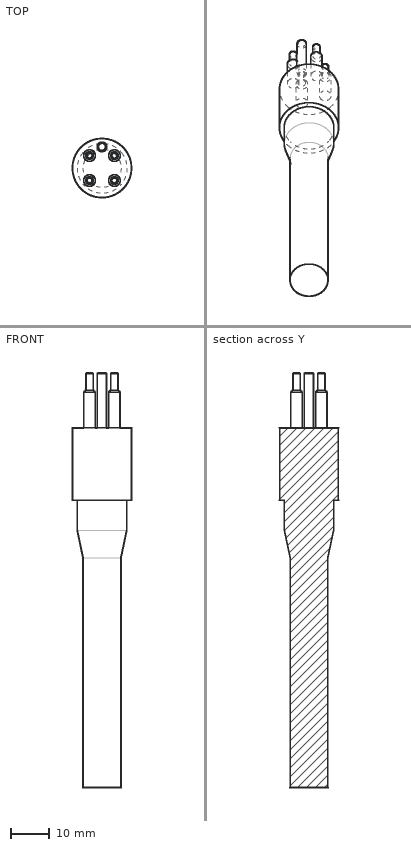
import cadquery as cq

total_height = 108.5
cable_top = 60.1
cone_top = 67.3
collar_top = 75.1
body_top = 94.1
sleeve_top = 103.9

cable_diameter = 10.0
collar_diameter = 13.0
body_diameter = 15.5
sleeve_diameter = 3.0
contact_diameter = 2.0
key_pin_diameter = 2.5

contact_spacing = 6.5
key_pin_offset = 5.5

sleeve_chamfer = (sleeve_diameter - contact_diameter) / 2
tip_chamfer = 0.3


def turned(profile):
    """Revolve a radius/height outline, closed along the Z axis."""
    return cq.Workplane("XZ").polyline(profile).close().revolve(360, (0, 0, 0), (0, 1, 0))


def housing():
    """Cable, tapered strain relief, collar and body on one axis."""
    cable_radius = cable_diameter / 2
    collar_radius = collar_diameter / 2
    body_radius = body_diameter / 2
    return turned([
        (0, 0),
        (cable_radius, 0),
        (cable_radius, cable_top),
        (collar_radius, cone_top),
        (collar_radius, collar_top),
        (body_radius, collar_top),
        (body_radius, body_top),
        (0, body_top),
    ])


def chamfered_pin(x, y, diameter, top, chamfer):
    """Round pin standing on the body face, chamfered at its free end."""
    return (
        cq.Workplane("XY", origin=(x, y, body_top))
        .circle(diameter / 2)
        .extrude(top - body_top)
        .faces(">Z")
        .chamfer(chamfer)
    )


def contact_pin(x, y):
    """Insulating sleeve with a thinner contact standing out of its end."""
    sleeve = chamfered_pin(x, y, sleeve_diameter, sleeve_top, sleeve_chamfer)
    contact = chamfered_pin(x, y, contact_diameter, total_height, tip_chamfer)
    return sleeve.union(contact)


key_pin = chamfered_pin(0, key_pin_offset, key_pin_diameter, total_height, tip_chamfer)

result = housing().union(key_pin)
for x_side in (-1, 1):
    for y_side in (-1, 1):
        contact_x = x_side * contact_spacing / 2
        contact_y = y_side * contact_spacing / 2
        result = result.union(contact_pin(contact_x, contact_y))